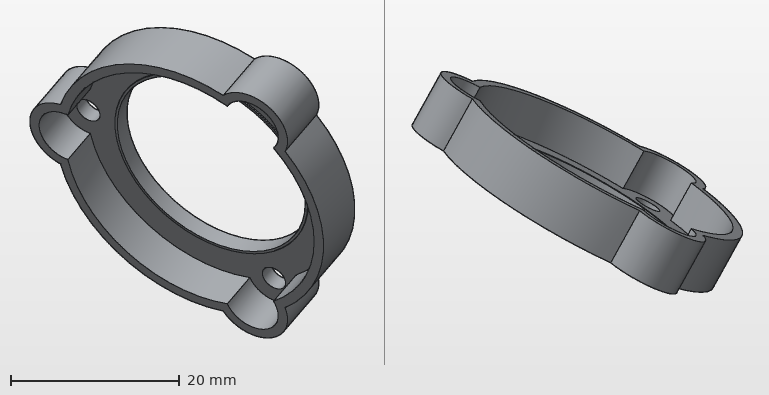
import cadquery as cq
import math

depth = 7.2
ring_radius = 18.55
lobe_radius = 5.0
lobe_distance = 17.15
wall = 1.3

floor_thickness = 2.05
bore_diameter = 26.0
lip_diameter = 26.7
lip_height = 0.2
screw_hole_diameter = 3.2

front_y = -depth / 2
back_y = depth / 2
floor_y = back_y - floor_thickness
lobe_angles = (60, 180, 300)
lobe_centers = [
    (lobe_distance * math.cos(math.radians(angle)), lobe_distance * math.sin(math.radians(angle)))
    for angle in lobe_angles
]


def cylinder(radius, start_y, end_y, center=(0, 0)):
    """Cylinder along Y at an (X, Z) center."""
    plane = cq.Workplane("XZ", origin=(center[0], start_y, center[1]))
    return plane.circle(radius).extrude(start_y - end_y)


def lobed_disc(inset, start_y, end_y):
    """Ring disc joined with its three lobes, every radius reduced by the inset."""
    disc = cylinder(ring_radius - inset, start_y, end_y)
    for center in lobe_centers:
        disc = disc.union(cylinder(lobe_radius - inset, start_y, end_y, center))
    return disc


result = lobed_disc(0, front_y, back_y).cut(lobed_disc(wall, front_y, floor_y))

result = result.union(cylinder(lip_diameter / 2, floor_y - lip_height, back_y))
result = result.cut(cylinder(bore_diameter / 2, floor_y - lip_height, back_y))

for lobe_center in lobe_centers:
    result = result.cut(cylinder(screw_hole_diameter / 2, floor_y, back_y, lobe_center))